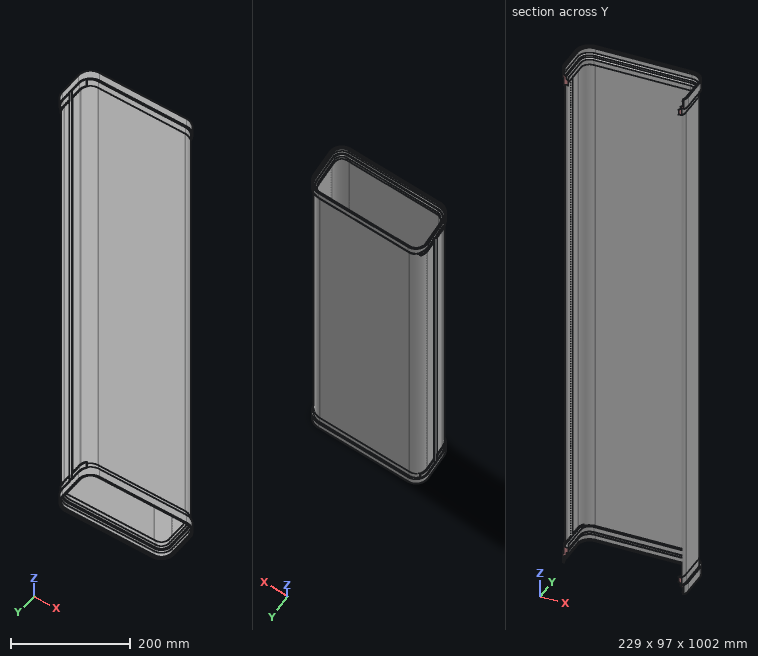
import cadquery as cq

TOTAL_LENGTH = 1002.0
COLLAR_WIDTH = 229.0
COLLAR_DEPTH = 97.0
COLLAR_CORNER_RADIUS = 25.0

DUCT_INSET = 3.1
DUCT_WALL = 1.4

SKIRT_HEIGHT = 19.0
SPIGOT_DEPTH = 33.0

RIM_WIDTH = 2.6
RIM_DEPTH = 3.5
SOCKET_INSET = 3.0
SOCKET_DEPTH = 13.0
RAMP_SIZE = 3.0
RAMP_ANGLE = 45.0
RAMP_SPACING = 4.0

SEAM_WIDTH = 6.5
SEAM_INSET = 0.5
PLATE_INSET = 1.5
PLATE_HALF_DEPTH = 37.5
PLATE_REACH = 35.0

END_Z = TOTAL_LENGTH / 2
SKIRT_Z = END_Z - SKIRT_HEIGHT
SPIGOT_Z = END_Z - SPIGOT_DEPTH
PLATE_Z = END_Z - PLATE_REACH
DUCT_INNER_INSET = DUCT_INSET + DUCT_WALL


def block(inset, bottom, top, taper=0):
    """Rounded block inset from the collar outline; its top face has the given inset."""
    return (
        cq.Workplane("XY", origin=(0, 0, top))
        .sketch()
        .rect(COLLAR_WIDTH - 2 * inset, COLLAR_DEPTH - 2 * inset)
        .vertices()
        .fillet(COLLAR_CORNER_RADIUS - inset)
        .finalize()
        .extrude(bottom - top, taper=taper)
    )


def make_duct():
    """Thin tube spanning between the skirts of the two collars."""
    outside = block(DUCT_INSET, -SKIRT_Z, SKIRT_Z)
    inside = block(DUCT_INNER_INSET, -SKIRT_Z, SKIRT_Z)
    return outside.cut(inside)


def make_mouth():
    """Stepped opening that passes through the upper collar."""
    first_ramp_top = END_Z - SOCKET_DEPTH
    first_ramp_bottom = first_ramp_top - RAMP_SIZE
    second_ramp_top = first_ramp_bottom - RAMP_SPACING
    second_ramp_bottom = second_ramp_top - RAMP_SIZE
    throat_inset = SOCKET_INSET + RAMP_SIZE
    bore_inset = throat_inset + RAMP_SIZE

    mouth = block(RIM_WIDTH, END_Z - RIM_DEPTH, END_Z)
    mouth = mouth.union(block(SOCKET_INSET, first_ramp_top, END_Z))
    mouth = mouth.union(block(SOCKET_INSET, first_ramp_bottom, first_ramp_top, taper=RAMP_ANGLE))
    mouth = mouth.union(block(throat_inset, second_ramp_top, first_ramp_bottom))
    mouth = mouth.union(block(throat_inset, second_ramp_bottom, second_ramp_top, taper=RAMP_ANGLE))
    return mouth.union(block(bore_inset, SPIGOT_Z, second_ramp_bottom))


def make_collar():
    """Upper collar: skirt plus spigot, hollowed by the stepped mouth."""
    skirt = block(0, SKIRT_Z, END_Z)
    spigot = block(DUCT_INNER_INSET, SPIGOT_Z, SKIRT_Z)
    return skirt.union(spigot).cut(make_mouth())


def side_layer(inset, half_depth, bottom, top):
    """Raised layer on the -X side of the duct, between +/- half_depth in Y."""
    layer = block(inset, bottom, top).cut(block(DUCT_INSET, bottom, top))
    half_width = COLLAR_WIDTH / 2
    keep = (
        cq.Workplane("XY", origin=(-half_width / 2, 0, bottom))
        .rect(half_width, 2 * half_depth)
        .extrude(top - bottom)
    )
    return layer.intersect(keep)


end = make_collar().union(side_layer(PLATE_INSET, PLATE_HALF_DEPTH, PLATE_Z, SKIRT_Z))
seam_strip = side_layer(SEAM_INSET, SEAM_WIDTH / 2, -SKIRT_Z, SKIRT_Z)
result = make_duct().union(seam_strip).union(end).union(end.mirror("XY"))